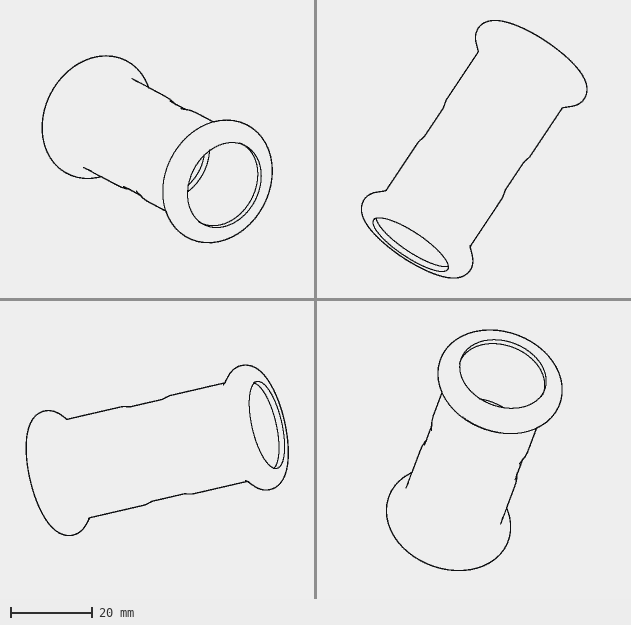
import cadquery as cq
import math


length = 59.0
half_length = length / 2
wall = 1.5

socket_outer_radius = 25.0 / 2
neck_outer_radius = 24.0 / 2
socket_bore_radius = socket_outer_radius - wall
stop_bore_radius = 19.0 / 2

bead_outer_radius = 31.5 / 2
bead_section_radius = 3.0
bead_center_radius = bead_outer_radius - bead_section_radius
bead_center_x = bead_section_radius - half_length
bead_slope = math.radians(45)
bead_root_radius = 2.0

socket_depth = 22.7
shoulder_start_x = socket_depth - half_length
shoulder_slope = math.radians(14)
shoulder_blend_radius = 2.4

stop_half_length = -shoulder_start_x


def bead_to_tube(section_radius, root_radius, tube_radius):
    """Points of the bead arc, its sloping flank and the root arc onto a tube.

    Returns arc start, arc middle, flank start, flank end, root middle, root end.
    """

    def on_bead(angle):
        return (
            bead_center_x + section_radius * math.sin(angle),
            bead_center_radius + section_radius * math.cos(angle),
        )

    flank_start = on_bead(bead_slope)
    flank_end_radius = tube_radius + root_radius * (1 - math.cos(bead_slope))
    flank_run = (flank_start[1] - flank_end_radius) / math.tan(bead_slope)
    flank_end = (flank_start[0] + flank_run, flank_end_radius)
    root_end = (flank_end[0] + root_radius * math.sin(bead_slope), tube_radius)
    root_middle = (
        root_end[0] - root_radius * math.sin(bead_slope / 2),
        tube_radius + root_radius * (1 - math.cos(bead_slope / 2)),
    )
    return on_bead(-math.pi / 2), on_bead(0), flank_start, flank_end, root_middle, root_end


def shoulder_points():
    """Points of the two tangent arcs and the cone from socket down to neck."""
    arc_run = shoulder_blend_radius * math.sin(shoulder_slope)
    arc_drop = shoulder_blend_radius * (1 - math.cos(shoulder_slope))
    middle_run = shoulder_blend_radius * math.sin(shoulder_slope / 2)
    middle_drop = shoulder_blend_radius * (1 - math.cos(shoulder_slope / 2))
    cone_drop = socket_outer_radius - neck_outer_radius - 2 * arc_drop
    cone_run = cone_drop / math.tan(shoulder_slope)
    end_x = shoulder_start_x + 2 * arc_run + cone_run

    start = (shoulder_start_x, socket_outer_radius)
    upper_middle = (shoulder_start_x + middle_run, socket_outer_radius - middle_drop)
    cone_start = (shoulder_start_x + arc_run, socket_outer_radius - arc_drop)
    cone_end = (end_x - arc_run, neck_outer_radius + arc_drop)
    lower_middle = (end_x - middle_run, neck_outer_radius + middle_drop)
    end = (end_x, neck_outer_radius)
    return start, upper_middle, cone_start, cone_end, lower_middle, end


def revolve_about_x(profile):
    return profile.revolve(360, (0, 0, 0), (1, 0, 0))


def on_both_ends(left_body):
    return left_body.union(left_body.mirror("YZ"))


def socket_body(shoulder):
    """Solid left end, from the mouth face to the end of the shoulder."""
    mouth, bead_crest, flank_start, flank_end, root_middle, root_end = bead_to_tube(
        bead_section_radius, bead_root_radius, socket_outer_radius
    )
    start, upper_middle, cone_start, cone_end, lower_middle, end = shoulder
    profile = (
        cq.Workplane("XY")
        .moveTo(-half_length, 0)
        .lineTo(*mouth)
        .threePointArc(bead_crest, flank_start)
        .lineTo(*flank_end)
        .threePointArc(root_middle, root_end)
        .lineTo(*start)
        .threePointArc(upper_middle, cone_start)
        .lineTo(*cone_end)
        .threePointArc(lower_middle, end)
        .lineTo(end[0], 0)
        .close()
    )
    return revolve_about_x(profile)


def socket_cavity():
    """Left socket bore with its mouth opening and the seal groove in the bead.

    The groove surface is parallel to the bead, one wall thickness inside it.
    """
    groove_start, groove_crest, flank_start, flank_end, root_middle, root_end = bead_to_tube(
        bead_section_radius - wall, bead_root_radius + wall, socket_bore_radius
    )
    profile = (
        cq.Workplane("XY")
        .moveTo(-half_length, 0)
        .lineTo(-half_length, socket_bore_radius)
        .lineTo(wall - half_length, socket_bore_radius)
        .lineTo(*groove_start)
        .threePointArc(groove_crest, flank_start)
        .lineTo(*flank_end)
        .threePointArc(root_middle, root_end)
        .lineTo(-stop_half_length, socket_bore_radius)
        .lineTo(-stop_half_length, 0)
        .close()
    )
    return revolve_about_x(profile)


def neck_body(half_span):
    """Solid neck between the two shoulders."""
    return cq.Workplane("YZ").circle(neck_outer_radius).extrude(half_span, both=True)


def stop_bore():
    """Narrow through bore that leaves the tube stop."""
    return cq.Workplane("YZ").circle(stop_bore_radius).extrude(half_length, both=True)


shoulder_outline = shoulder_points()
neck_half_length = -shoulder_outline[-1][0]

outer_body = on_both_ends(socket_body(shoulder_outline)).union(neck_body(neck_half_length))
result = outer_body.cut(on_both_ends(socket_cavity())).cut(stop_bore()).clean()